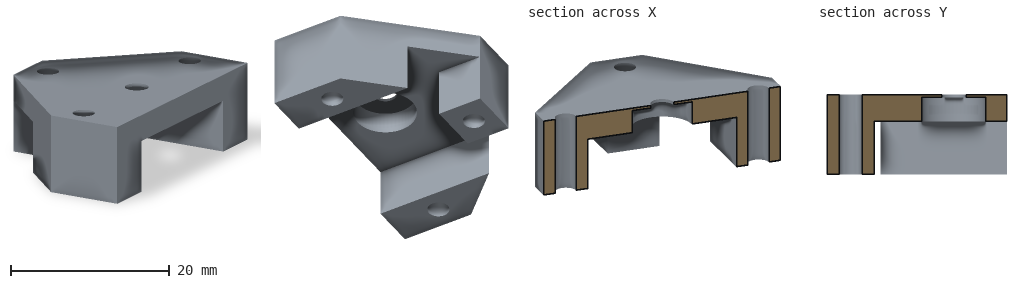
import cadquery as cq

length = 22.7
width = 32.0
height = 10.1

nose_width = 7.0
taper_length = 13.0

plate_thickness = 3.4
leg_size = 6.0
leg_height = height - plate_thickness

screw_diameter = 2.8
screw_edge_distance = leg_size / 2
center_diameter = 3.0
recess_diameter = 8.0
recess_depth = 3.0

center_x = 16.0


def full_block():
    half_width = width / 2
    half_nose = nose_width / 2
    outline = [
        (0, -half_nose),
        (taper_length, -half_width),
        (length, -half_width),
        (length, half_width),
        (taper_length, half_width),
        (0, half_nose),
    ]
    return cq.Workplane("XY").polyline(outline).close().extrude(height)


def leg_clearance():
    """Open space under the plate, leaving two side legs and the nose leg."""
    channel = cq.Workplane("XY").box(
        length, width - 2 * leg_size, leg_height, centered=(False, True, False)
    )
    nose_leg = cq.Workplane("XY").box(
        leg_size, nose_width, leg_height, centered=(False, True, False)
    )
    return channel.cut(nose_leg)


def screw_holes():
    """One through hole in each of the three legs."""
    side_y = width / 2 - screw_edge_distance
    positions = [(screw_edge_distance, 0), (center_x, side_y), (center_x, -side_y)]
    return cq.Workplane("XY").pushPoints(positions).circle(screw_diameter / 2).extrude(height)


def center_hole():
    """Through hole in the plate, with a wide recess on its underside."""
    axis = cq.Workplane("XY").center(center_x, 0)
    hole = axis.circle(center_diameter / 2).extrude(height)
    recess = axis.circle(recess_diameter / 2).extrude(leg_height + recess_depth)
    return hole.union(recess)


result = full_block().cut(leg_clearance()).cut(screw_holes()).cut(center_hole())